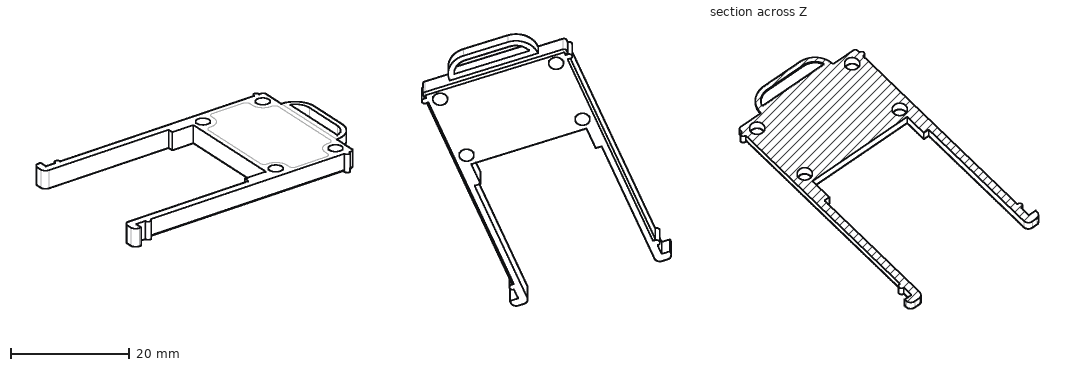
import cadquery as cq

BODY_HEIGHT = 3.5
LOOP_HEIGHT = 2.0

BODY_WIDTH = 26.0
BODY_LENGTH = 47.0
PLATE_LENGTH = 16.6
BACK_CORNER_RADIUS = 0.5
BOTTOM_CHAMFER = 0.4

NARROW_GAP_WIDTH = 20.85
NARROW_GAP_END = 21.0
WIDE_GAP_WIDTH = 23.0

HOOK_SPAN = 29.0
HOOK_THICKNESS = 1.45
HOOK_RADIUS = 1.0

BACK_DETENT_Y = -1.5
BACK_DETENT_RADIUS = 0.5
FRONT_DETENT_Y = -43.05
FRONT_DETENT_RADIUS = 0.55
DETENT_PROTRUSION = 0.6

HOLE_DIAMETER = 2.5
HOLE_SPACING_X = 21.0
HOLE_SPACING_Y = 12.5

LOOP_WIDTH = 16.0
LOOP_DEPTH = 4.0
LOOP_BAND = 1.0

INLAY_WIDTH = 24.0
INLAY_LENGTH = 14.6
INLAY_THICKNESS = 1.0
INLAY_CORNER_RADIUS = 0.8
INLAY_HOLE_CLEARANCE = 2.25

PLATE_CENTER_Y = -PLATE_LENGTH / 2
SIDES = (-1, 1)


def block(width, y_back, y_front):
    """Full-height box centred on x = 0, hanging down from z = 0."""
    center_y = (y_back + y_front) / 2
    return cq.Workplane("XY").center(0, center_y).rect(width, y_back - y_front).extrude(-BODY_HEIGHT)


def make_chamfered_body():
    """Slab with rounded back corners, chamfered underneath along its back and sides."""
    slab = block(BODY_WIDTH, 0, -BODY_LENGTH)
    slab = slab.edges("|Z and >Y").fillet(BACK_CORNER_RADIUS)
    slab = slab.faces("<Z").chamfer(BOTTOM_CHAMFER)
    return slab.union(block(BODY_WIDTH, FRONT_DETENT_Y, -BODY_LENGTH))


def make_frame():
    """Plate and two arms with outward hooks at their tips."""
    frame = make_chamfered_body()
    frame = frame.union(block(HOOK_SPAN, -BODY_LENGTH + HOOK_THICKNESS, -BODY_LENGTH))
    frame = frame.cut(block(NARROW_GAP_WIDTH, -PLATE_LENGTH, -NARROW_GAP_END))
    frame = frame.cut(block(WIDE_GAP_WIDTH, -NARROW_GAP_END, -BODY_LENGTH))
    return frame.edges("|Z and <Y").fillet(HOOK_RADIUS)


def make_detent(side, y, radius):
    """Round-nosed bump on one outer side, rooted in the arm."""
    nose_x = side * (BODY_WIDTH / 2 + DETENT_PROTRUSION - radius)
    root_x = nose_x - side * radius
    return (
        cq.Workplane("XY")
        .moveTo(root_x, y - radius)
        .lineTo(nose_x, y - radius)
        .threePointArc((nose_x + side * radius, y), (nose_x, y + radius))
        .lineTo(root_x, y + radius)
        .close()
        .extrude(-BODY_HEIGHT)
    )


def make_arch(half_width, depth):
    """Arch rising from y = 0 whose ends are quarter rounds as large as its depth."""
    flat_half = half_width - depth
    diagonal = depth * 0.5**0.5
    return (
        cq.Workplane("XY")
        .moveTo(-half_width, 0)
        .threePointArc((-flat_half - diagonal, diagonal), (-flat_half, depth))
        .lineTo(flat_half, depth)
        .threePointArc((flat_half + diagonal, diagonal), (half_width, 0))
        .close()
        .extrude(-LOOP_HEIGHT)
    )


def make_loop():
    """Pull loop with concentric corner arcs and a straight bar along the plate."""
    outer = make_arch(LOOP_WIDTH / 2, LOOP_DEPTH)
    inner = make_arch(LOOP_WIDTH / 2 - LOOP_BAND, LOOP_DEPTH - LOOP_BAND)
    opening = inner.cut(block(LOOP_WIDTH, LOOP_BAND, 0))
    return outer.cut(opening)


def make_holes():
    """Four upright cylinders centred on the plate."""
    return (
        cq.Workplane("XY")
        .center(0, PLATE_CENTER_Y)
        .rarray(HOLE_SPACING_X, HOLE_SPACING_Y, 2, 2)
        .circle(HOLE_DIAMETER / 2)
        .extrude(-BODY_HEIGHT)
    )


def make_inlay():
    """Rectangular inlay whose corners are notched by an arc around each hole."""
    notch_size = 4 * INLAY_HOLE_CLEARANCE
    notch_spacing_x = HOLE_SPACING_X + 2 * INLAY_HOLE_CLEARANCE
    notch_spacing_y = HOLE_SPACING_Y + 2 * INLAY_HOLE_CLEARANCE
    plane = cq.Workplane("XY").center(0, PLATE_CENTER_Y)
    notches = (
        plane.rarray(notch_spacing_x, notch_spacing_y, 2, 2)
        .rect(notch_size, notch_size)
        .extrude(-INLAY_THICKNESS)
        .edges("|Z")
        .fillet(INLAY_HOLE_CLEARANCE)
    )
    inlay = plane.rect(INLAY_WIDTH, INLAY_LENGTH).extrude(-INLAY_THICKNESS).cut(notches)
    return inlay.edges("|Z and (<X or >X or <Y or >Y)").fillet(INLAY_CORNER_RADIUS)


result = make_frame()
for side in SIDES:
    result = result.union(make_detent(side, BACK_DETENT_Y, BACK_DETENT_RADIUS))
    result = result.union(make_detent(side, FRONT_DETENT_Y, FRONT_DETENT_RADIUS))
result = result.cut(make_holes())

result = result.union(make_loop(), clean=False)
inlay = make_inlay()
result = result.cut(inlay, clean=False).union(inlay, clean=False)